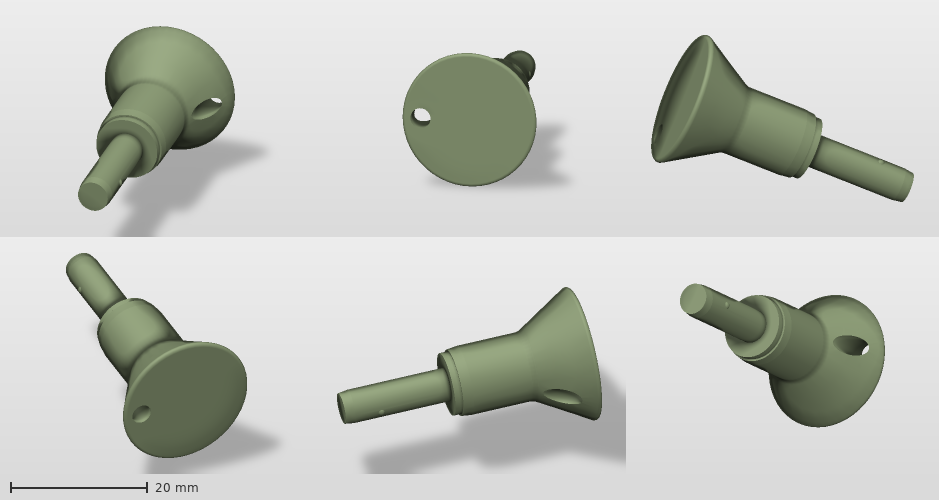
import cadquery as cq
import math

tip_taper_end = 1.45
ball_station = 5.4
collar_start = 16.05
sleeve_start = 17.2
sleeve_taper_end = 18.75
total_length = 37.0

tip_radius = 2.3
pin_diameter = 5.0
pin_radius = pin_diameter / 2
collar_radius = 4.7
sleeve_front_radius = 5.0
sleeve_radius = 5.18
head_diameter = 20.0
head_radius = head_diameter / 2

cone_angle = math.radians(30.5)
rim_radius = 0.48
neck_blend_radius = 1.95

rim_center_radius = head_radius - rim_radius
rim_center_station = total_length - rim_radius
cone_end_radius = rim_center_radius + rim_radius * math.cos(cone_angle)
cone_end = rim_center_station - rim_radius * math.sin(cone_angle)
cone_start_radius = sleeve_radius + neck_blend_radius * (1 - math.cos(cone_angle))
cone_start = cone_end - (cone_end_radius - cone_start_radius) / math.tan(cone_angle)
neck_start = cone_start - neck_blend_radius * math.sin(cone_angle)

ball_radius = 0.63
ball_reach = 2.75

hole_diameter = 3.0
hole_offset = 7.25


def make_body():
    """Revolve the pin, sleeve and flared head about the Y axis."""
    neck_middle = (
        sleeve_radius + neck_blend_radius * (1 - math.cos(cone_angle / 2)),
        neck_start + neck_blend_radius * math.sin(cone_angle / 2),
    )
    rim_middle = (head_radius, rim_center_station)
    return (
        cq.Workplane("XY")
        .lineTo(tip_radius, 0)
        .lineTo(pin_radius, tip_taper_end)
        .lineTo(pin_radius, collar_start)
        .lineTo(collar_radius, collar_start)
        .lineTo(collar_radius, sleeve_start)
        .lineTo(sleeve_front_radius, sleeve_start)
        .lineTo(sleeve_radius, sleeve_taper_end)
        .lineTo(sleeve_radius, neck_start)
        .threePointArc(neck_middle, (cone_start_radius, cone_start))
        .lineTo(cone_end_radius, cone_end)
        .threePointArc(rim_middle, (rim_center_radius, total_length))
        .lineTo(0, total_length)
        .close()
        .revolve(360, (0, 0, 0), (0, 1, 0))
    )


def make_ball(side):
    """Locking ball on the +X (side = 1) or -X (side = -1) flank."""
    center_x = side * (ball_reach - ball_radius)
    return cq.Workplane("XY").sphere(ball_radius).translate((center_x, ball_station, 0))


def make_lanyard_hole():
    """Cylinder parallel to the pin axis, passing through the head only."""
    return (
        cq.Workplane("XZ", origin=(hole_offset, total_length, 0))
        .circle(hole_diameter / 2)
        .extrude(total_length - neck_start)
    )


result = make_body().cut(make_lanyard_hole())
for side in (-1, 1):
    result = result.union(make_ball(side))